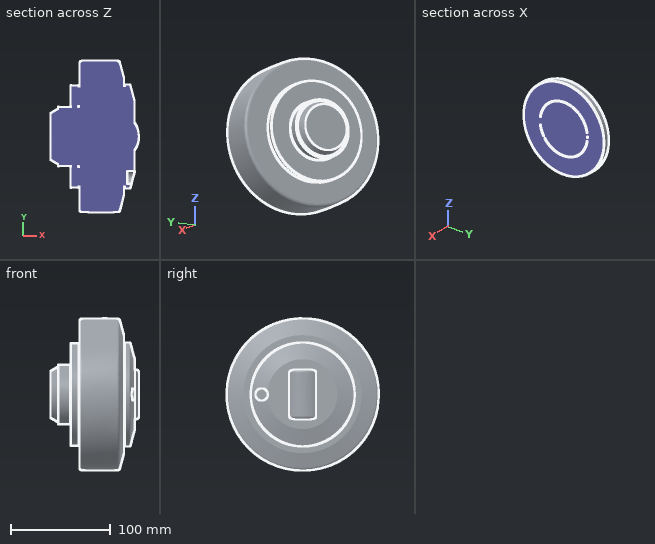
import cadquery as cq
import math


tolerance = 0.02

shaft_radius = 60.0 / 2
shaft_start = 7.5
lead_in_tip_radius = 23.6
lead_in_base_radius = 28.0
edge_chamfer = 0.5

flange_radius = 103.0 / 2
flange_start = 20.0
flange_end = 28.5

flange_neck_radius = 101.2 / 2
cap_neck_radius = 101.4 / 2

roller_radius = 76.5
roller_start = 29.0
roller_end = 74.0
roller_end_radius = 59.2
crown_radius = 500.6
roller_fillet = 3.0

cone_angle = math.radians(15)
cap_radius = 104.5 / 2
cap_start = 74.4
cap_end = 84.8
cap_end_radius = 35.0
cap_fillet = 1.5

bar_top = 89.0
bar_length = 49.9
bar_width = 27.1
bar_fillet = 3.0

hole_diameter = 12.4
hole_center_radius = 41.2
hole_depth = 7.7


def disc(start, end, radius):
    """Cylinder about the X axis between two X positions."""
    return cq.Workplane("YZ", origin=(start, 0, 0)).circle(radius).extrude(end - start)


def turned(profile):
    """Solid of revolution about X from a closed half profile drawn in XY."""
    return profile.close().revolve(360, (0, 0, 0), (1, 0, 0))


def round_rim(body, position, fillet):
    """Round the circular rim that lies at the given X position."""
    rim = body.edges("%CIRCLE").filter(lambda edge: abs(edge.Center().x - position) < tolerance)
    return rim.fillet(fillet)


def cone_start(end, end_radius, outer_radius):
    """X position where a 15 degree conical side reaches the outer radius."""
    return end - (outer_radius - end_radius) * math.tan(cone_angle)


def make_shaft():
    lead_in = turned(
        cq.Workplane("XY")
        .lineTo(0, lead_in_tip_radius)
        .lineTo(shaft_start, lead_in_base_radius)
        .lineTo(shaft_start, 0)
    )
    shaft = disc(shaft_start, flange_start, shaft_radius).edges().chamfer(edge_chamfer)
    return lead_in.union(shaft)


def make_flange():
    """Flange whose bore is chamfered too, leaving a fine groove around the shaft."""
    core = disc(flange_start, flange_end, shaft_radius)
    flange = (
        disc(flange_start, flange_end, flange_radius)
        .cut(core)
        .edges("%CIRCLE")
        .chamfer(edge_chamfer)
    )
    neck = disc(flange_end, roller_start, flange_neck_radius)
    return flange.union(core).union(neck)


def make_roller():
    tread_end = cone_start(roller_end, roller_end_radius, roller_radius)
    tread_middle = (roller_start + tread_end) / 2
    half_width = tread_end - tread_middle
    crown_drop = crown_radius - math.sqrt(crown_radius**2 - half_width**2)
    tread_edge_radius = roller_radius - crown_drop
    roller = turned(
        cq.Workplane("XY")
        .moveTo(roller_start, 0)
        .lineTo(roller_start, tread_edge_radius)
        .threePointArc((tread_middle, roller_radius), (tread_end, tread_edge_radius))
        .lineTo(roller_end, roller_end_radius)
        .lineTo(roller_end, 0)
    )
    roller = round_rim(roller, roller_start, roller_fillet)
    return round_rim(roller, tread_end, roller_fillet)


def make_cap():
    cone_x = cone_start(cap_end, cap_end_radius, cap_radius)
    cap = turned(
        cq.Workplane("XY")
        .moveTo(cap_start, 0)
        .lineTo(cap_start, cap_radius)
        .lineTo(cone_x, cap_radius)
        .lineTo(cap_end, cap_end_radius)
        .lineTo(cap_end, 0)
    )
    cap = round_rim(cap, cone_x, cap_fillet)
    cap = cap.faces("<X").edges().chamfer(edge_chamfer)
    hole = (
        cq.Workplane("YZ", origin=(cap_end - hole_depth, -hole_center_radius, 0))
        .circle(hole_diameter / 2)
        .extrude(hole_depth)
    )
    return cap.cut(hole).union(disc(roller_end, cap_start, cap_neck_radius))


def make_bar():
    """Round bar along Z, sunk into the part so that only a low segment stands out."""
    height = bar_top - cap_end
    bar_radius = ((bar_width / 2) ** 2 + height**2) / (2 * height)
    bar = (
        cq.Workplane("XY", origin=(bar_top - bar_radius, 0, -bar_length / 2))
        .circle(bar_radius)
        .extrude(bar_length)
    )
    return bar.edges("%CIRCLE").fillet(bar_fillet)


result = make_shaft()
for section in (make_flange(), make_roller(), make_cap(), make_bar()):
    result = result.union(section)